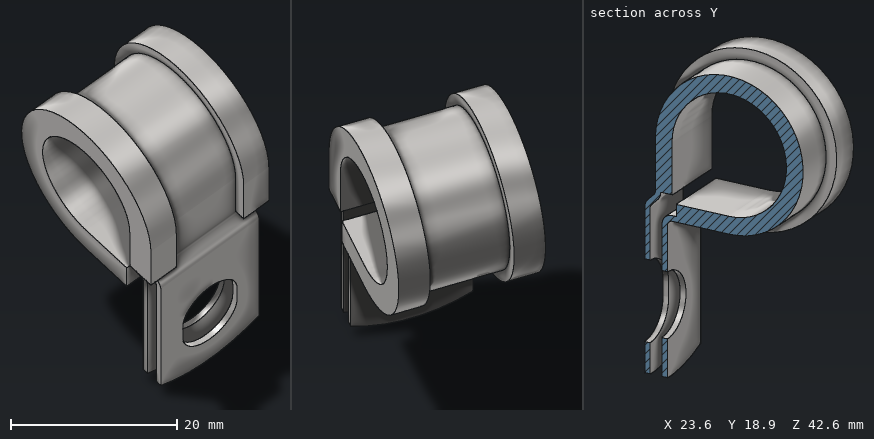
import cadquery as cq
import math

outer_diameter = 23.6
outer_radius = outer_diameter / 2
bore_radius = 7.95
groove_radius = 10.33
cushion_width = 18.9
groove_width = 10.8
upper_end_z = -6.85
lower_end_x = 7.4
overall_height = 42.65

strap_thickness = 0.8
strap_width = 15.75
bend_radius = 1.02
inner_tab_face_x = 9.4
tab_bottom_z = outer_radius - overall_height
tab_end_rise = 1.7
bolt_hole_radius = 4.35
outer_slot_travel = 2.0
bolt_hole_z = -21.38

strap_radius = groove_radius - strap_thickness / 2
jog_angle = math.radians(45)


def loop_band(inner_radius, rim_radius, width):
    """Three-quarter round band with tangent legs, centred on the XZ plane."""
    diagonal = math.sqrt(0.5)
    return (
        cq.Workplane("XZ", origin=(0, width / 2, 0))
        .moveTo(lower_end_x, -rim_radius)
        .lineTo(0, -rim_radius)
        .threePointArc((-rim_radius * diagonal, rim_radius * diagonal), (rim_radius, 0))
        .lineTo(rim_radius, upper_end_z)
        .lineTo(inner_radius, upper_end_z)
        .lineTo(inner_radius, 0)
        .threePointArc((-inner_radius * diagonal, inner_radius * diagonal), (0, -inner_radius))
        .lineTo(lower_end_x, -inner_radius)
        .close()
        .extrude(width)
    )


def bent_strap(path, plane, start):
    """Sweep the strap's rectangular section along a path from its start point."""
    section = cq.Workplane(plane, origin=start)
    if plane == "XY":
        return section.rect(strap_thickness, strap_width).sweep(path)
    return section.rect(strap_width, strap_thickness).sweep(path)


def outer_tab():
    """Tab leaving the vertical leg, jogged outward to line up with the cushion."""
    tab_x = outer_radius - strap_thickness / 2
    arc_shift = bend_radius * (1 - math.cos(jog_angle))
    arc_drop = bend_radius * math.sin(jog_angle)
    slope_shift = tab_x - strap_radius - 2 * arc_shift
    slope_drop = slope_shift / math.tan(jog_angle)
    half_shift = bend_radius * (1 - math.cos(jog_angle / 2))
    half_drop = bend_radius * math.sin(jog_angle / 2)
    jog_bottom_z = upper_end_z - 2 * arc_drop - slope_drop
    path = (
        cq.Workplane("XZ")
        .moveTo(strap_radius, 0)
        .lineTo(strap_radius, upper_end_z)
        .threePointArc(
            (strap_radius + half_shift, upper_end_z - half_drop),
            (strap_radius + arc_shift, upper_end_z - arc_drop),
        )
        .lineTo(tab_x - arc_shift, jog_bottom_z + arc_drop)
        .threePointArc((tab_x - half_shift, jog_bottom_z + half_drop), (tab_x, jog_bottom_z))
        .lineTo(tab_x, tab_bottom_z)
    )
    return bent_strap(path, "XY", (strap_radius, 0, 0))


def inner_tab():
    """Tab leaving the horizontal leg, bent straight down."""
    tab_x = inner_tab_face_x - strap_thickness / 2
    bend_x = tab_x - bend_radius
    bend_z = -strap_radius - bend_radius
    diagonal = bend_radius * math.sqrt(0.5)
    path = (
        cq.Workplane("XZ")
        .moveTo(0, -strap_radius)
        .lineTo(bend_x, -strap_radius)
        .threePointArc((bend_x + diagonal, bend_z + diagonal), (tab_x, bend_z))
        .lineTo(tab_x, tab_bottom_z)
    )
    return bent_strap(path, "YZ", (0, 0, -strap_radius))


def tab_outline():
    """Block along X with a tab's rounded lower end."""
    half_width = strap_width / 2
    corner_z = tab_bottom_z + tab_end_rise
    return (
        cq.Workplane("YZ")
        .moveTo(-half_width, 0)
        .lineTo(-half_width, corner_z)
        .threePointArc((0, tab_bottom_z), (half_width, corner_z))
        .lineTo(half_width, 0)
        .close()
        .extrude(outer_radius)
    )


def bolt_hole():
    """Round hole for the inner tab."""
    return cq.Workplane("YZ", origin=(0, 0, bolt_hole_z)).circle(bolt_hole_radius).extrude(outer_radius)


def bolt_slot():
    """Vertical slot for the outer tab, centred on the bolt hole."""
    diameter = 2 * bolt_hole_radius
    return (
        cq.Workplane("YZ", origin=(0, 0, bolt_hole_z))
        .slot2D(diameter + outer_slot_travel, diameter, 90)
        .extrude(outer_radius)
    )


cushion = loop_band(bore_radius, outer_radius, cushion_width)
groove = loop_band(groove_radius, outer_radius, groove_width)
result = cushion.cut(groove)
result = result.union(outer_tab().intersect(tab_outline()).cut(bolt_slot()))
result = result.union(inner_tab().intersect(tab_outline()).cut(bolt_hole()))